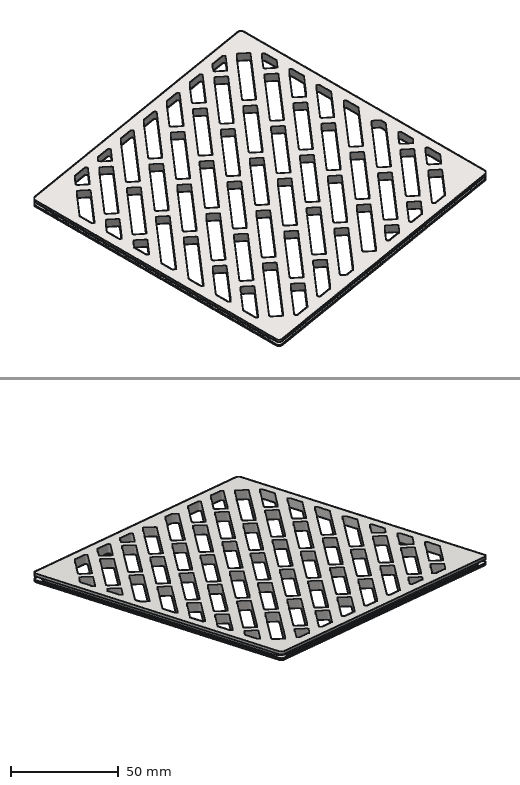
import cadquery as cq
import math

side = 149.7
thickness = 4.8
corner_radius = 2.0
bottom_chamfer = 0.7

flange_thickness = 1.5
groove_depth = 1.2
groove_corner_radius = 6.3

frame_width = 5.1
slot_length = 31.7
slot_width = 6.6
slot_corner_radius = 0.9
end_gap = 3.9
row_gap = 5.1
outer_row = 7
even_row_shift = -2.7
odd_row_shift = 12.3
first_slot = -3
last_slot = 2
shortest_slot = 5.2
end_extension = 4.5

extended_slots = {
    (0, 2): 1,
    (-3, 1): 1,
    (-4, 1): 1,
    (-5, -1): -1,
}

row_angle = -45.0
window_side = side - 2 * frame_width
row_pitch = slot_width + row_gap
slot_pitch = slot_length + end_gap
groove_width = thickness - 2 * flange_thickness


def rounded_square(width, height, radius):
    """Square block standing on the XY plane with rounded upright corners."""
    return cq.Workplane("XY").rect(width, width).extrude(height).edges("|Z").fillet(radius)


def make_plate():
    """Solid plate with its lower rim chamfered."""
    return rounded_square(side, thickness, corner_radius).faces("<Z").chamfer(bottom_chamfer)


def make_groove():
    """Ring that is removed from the rim."""
    core = rounded_square(side - 2 * groove_depth, groove_width, groove_corner_radius)
    ring = cq.Workplane("XY").rect(2 * side, 2 * side).extrude(groove_width).cut(core)
    return ring.translate((0, 0, flange_thickness))


def make_slot(row, slot):
    """One slot turned to the diagonal, trimmed by the frame and rounded; None where too little is left."""
    direction = extended_slots.get((row, slot), 0)
    row_shift = odd_row_shift if row % 2 else even_row_shift
    centre = row_shift + slot * slot_pitch
    row_reach = window_side / math.sqrt(2) - abs(row * row_pitch)
    if row_reach - (abs(centre) - slot_length / 2) < shortest_slot:
        return None
    extension = end_extension * abs(direction)
    block = (
        cq.Workplane("XY")
        .center(centre + direction * extension / 2, row * row_pitch)
        .rect(slot_length + extension, slot_width)
        .extrude(thickness)
        .rotate((0, 0, 0), (0, 0, 1), row_angle)
    )
    window = cq.Workplane("XY").rect(window_side, window_side).extrude(thickness)
    outline = block.intersect(window).faces("<Z").wires().val()
    shrunk = outline.offset2D(-slot_corner_radius)[0]
    rounded = shrunk.offset2D(slot_corner_radius)[0]
    return cq.Solid.extrudeLinear(rounded, [], cq.Vector(0, 0, thickness))


def make_slots():
    """All slots of the pattern as one tool."""
    slots = []
    for row in range(-outer_row, outer_row + 1):
        for slot in range(first_slot, last_slot + 1):
            opening = make_slot(row, slot)
            if opening is not None:
                slots.append(opening)
    return cq.Workplane(cq.Compound.makeCompound(slots))


result = make_plate().cut(make_groove()).cut(make_slots())